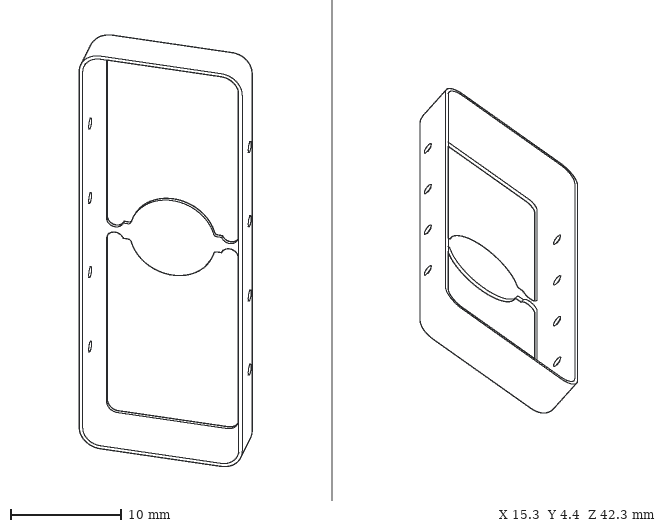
import cadquery as cq

WIDTH = 15.3
DEPTH = 4.4
HEIGHT = 42.3
CORNER_RADIUS = 2.0
BACK_EDGE_RADIUS = 1.0
WALL = 0.35
LIP_WIDTH = 1.5
WINDOW_CORNER_RADIUS = 1.0

DISC_RADIUS = 4.0
TAB_HEIGHT = 1.65
TAB_FILLET = 0.3
RELIEF_RADIUS = 0.8
NECK_HEIGHT = 0.6

HOLE_DIAMETER = 1.0
HOLE_COUNT = 4
HOLE_PITCH = 8.0
HOLE_FROM_BACK = 1.8

BACK_Y = DEPTH / 2
FLOOR_Y = BACK_Y - WALL
WINDOW_WIDTH = WIDTH - 2 * LIP_WIDTH
WINDOW_HEIGHT = HEIGHT - 2 * LIP_WIDTH


def rounded_block(width, height, front_y, back_y, corner_radius):
    """Block centred on the Y axis with its four Y-direction edges rounded."""
    block = cq.Workplane("XY").box(width, back_y - front_y, height)
    return block.edges("|Y").fillet(corner_radius).translate((0, (front_y + back_y) / 2, 0))


def tray():
    """Thin-walled shell with concentric outer and inner back edge rounds."""
    outer = rounded_block(WIDTH, HEIGHT, -BACK_Y, BACK_Y, CORNER_RADIUS)
    outer = outer.faces(">Y").edges().fillet(BACK_EDGE_RADIUS)
    cavity = rounded_block(WIDTH - 2 * WALL, HEIGHT - 2 * WALL, -BACK_Y, FLOOR_Y, CORNER_RADIUS - WALL)
    cavity = cavity.faces(">Y").edges().fillet(BACK_EDGE_RADIUS - WALL)
    return outer.cut(cavity)


def window():
    """Rounded opening that leaves a lip around the floor."""
    return rounded_block(WINDOW_WIDTH, WINDOW_HEIGHT, FLOOR_Y, BACK_Y, WINDOW_CORNER_RADIUS)


def floor_cylinder(radius):
    """Cylinder along Y spanning the floor thickness."""
    return cq.Workplane("XZ", origin=(0, BACK_Y, 0)).circle(radius).extrude(WALL)


def floor_plate(width, height, centre_x=0):
    """Rectangular plate spanning the floor thickness."""
    return cq.Workplane("XY").box(width, WALL, height).translate((centre_x, BACK_Y - WALL / 2, 0))


def disc_with_tabs():
    """Disc on a cross bar, necked at each end by round reliefs tangent to the window sides."""
    web = floor_plate(WINDOW_WIDTH, TAB_HEIGHT).union(floor_cylinder(DISC_RADIUS))
    disc_joints = cq.selectors.BoxSelector(
        (-DISC_RADIUS, -BACK_Y, -TAB_HEIGHT), (DISC_RADIUS, DEPTH, TAB_HEIGHT)
    )
    web = web.edges("|Y").edges(disc_joints).fillet(TAB_FILLET)

    relief_z = NECK_HEIGHT / 2 + RELIEF_RADIUS
    for side in (-1, 1):
        root_x = side * (WINDOW_WIDTH - RELIEF_RADIUS) / 2
        relief_x = side * (WINDOW_WIDTH / 2 - RELIEF_RADIUS)
        web = web.union(floor_plate(RELIEF_RADIUS, 2 * relief_z, root_x))
        for z in (-relief_z, relief_z):
            web = web.cut(floor_cylinder(RELIEF_RADIUS).translate((relief_x, 0, z)))
    return web


def cross_holes():
    """Row of cylinders along X, long enough to pierce both side walls."""
    hole_y = BACK_Y - HOLE_FROM_BACK
    return (
        cq.Workplane("YZ", origin=(0, hole_y, 0))
        .rarray(0.42, HOLE_PITCH, 1, HOLE_COUNT)
        .circle(HOLE_DIAMETER / 2)
        .extrude(WIDTH, both=True)
    )


result = tray().cut(window()).union(disc_with_tabs()).cut(cross_holes())